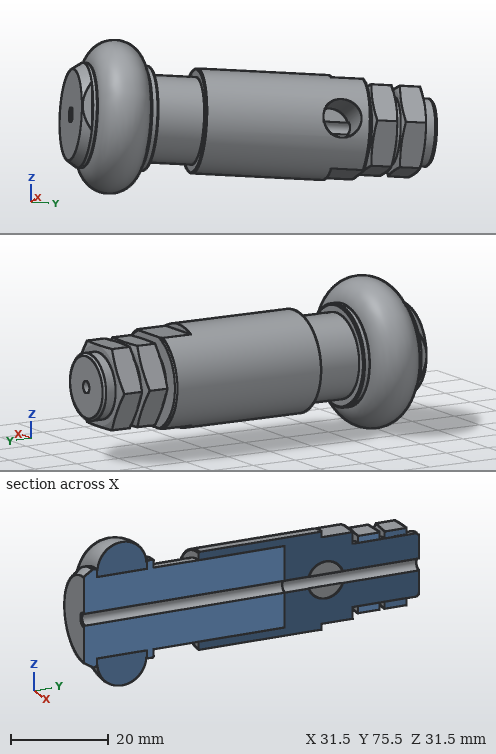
import cadquery as cq
import math

total_length = 75.5

head_diameter = 21.5
stem_diameter = 18.0
bevel_length = 2.05
bevel_angle = 30.0
head_across_flats = 19.0
head_edge_chamfer = 0.2
head_end = 15.85
stem_end = 45.3
flange_chamfer = 0.3

ring_start = 3.1
ring_width = 11.1
ring_diameter = 31.5

housing_diameter = head_diameter
housing_start = 25.8
housing_end = 60.6
housing_front_chamfer = 0.2
housing_rear_chamfer = 0.4
wrench_across_flats = 19.0
wrench_flat_start = 53.6
thread_diameter = 14.0
thread_tip_diameter = 12.9
port_diameter = 8.0
port_position = 54.5

passage_diameter = 2.5
passage_mouth_diameter = 3.0

nut_sides = 6
nut_across_flats = 17.0
nut_thickness = 5.0
nut_face_diameter = 16.6
nut_corner_drop = 0.4
nut_starts = [61.7, 67.7]

ring_end = ring_start + ring_width
head_radius = head_diameter / 2
stem_radius = stem_diameter / 2


def revolve_about_y(profile):
    """Turn a closed XY profile a full circle about the Y axis."""
    return profile.close().revolve(360, (0, 0, 0), (0, 1, 0))


def cylinder_y(diameter, start, end):
    """Cylinder along Y from start to end."""
    radius = diameter / 2
    return cq.Workplane(cq.Solid.makeCylinder(radius, end - start, cq.Vector(0, start, 0), cq.Vector(0, 1, 0)))


def slab(width, height, start, end):
    """Box centred on the Y axis with the given X and Z sizes."""
    return cq.Workplane().box(width, end - start, height).translate((0, (start + end) / 2, 0))


def make_plunger():
    face_radius = head_radius - bevel_length * math.tan(math.radians(bevel_angle))
    mouth_radius = passage_mouth_diameter / 2
    passage_radius = passage_diameter / 2
    mouth_depth = mouth_radius - passage_radius
    body = revolve_about_y(
        cq.Workplane()
        .moveTo(mouth_radius, 0)
        .lineTo(face_radius - head_edge_chamfer, 0)
        .lineTo(face_radius, head_edge_chamfer)
        .lineTo(head_radius, bevel_length)
        .lineTo(head_radius, ring_start - flange_chamfer)
        .lineTo(head_radius - flange_chamfer, ring_start)
        .lineTo(stem_radius, ring_start)
        .lineTo(stem_radius, ring_end)
        .lineTo(head_radius - flange_chamfer, ring_end)
        .lineTo(head_radius, ring_end + flange_chamfer)
        .lineTo(head_radius, head_end - flange_chamfer)
        .lineTo(head_radius - flange_chamfer, head_end)
        .lineTo(stem_radius, head_end)
        .lineTo(stem_radius, stem_end)
        .lineTo(passage_radius, stem_end)
        .lineTo(passage_radius, mouth_depth)
    )
    front = slab(head_diameter, head_diameter, 0, bevel_length)
    between_flats = slab(head_across_flats, head_diameter, 0, bevel_length)
    return body.cut(front.cut(between_flats))


def make_grip_ring():
    crown_radius = ring_width / 2
    crown_start_radius = ring_diameter / 2 - crown_radius
    return revolve_about_y(
        cq.Workplane()
        .moveTo(stem_radius, ring_start)
        .lineTo(crown_start_radius, ring_start)
        .threePointArc((ring_diameter / 2, ring_start + crown_radius), (crown_start_radius, ring_end))
        .lineTo(stem_radius, ring_end)
    )


def make_housing():
    radius = housing_diameter / 2
    thread_radius = thread_diameter / 2
    tip_radius = thread_tip_diameter / 2
    tip_chamfer = thread_radius - tip_radius
    passage_radius = passage_diameter / 2
    body = revolve_about_y(
        cq.Workplane()
        .moveTo(stem_radius, housing_start)
        .lineTo(radius - housing_front_chamfer, housing_start)
        .lineTo(radius, housing_start + housing_front_chamfer)
        .lineTo(radius, housing_end - housing_rear_chamfer)
        .lineTo(radius - housing_rear_chamfer, housing_end)
        .lineTo(thread_radius, housing_end)
        .lineTo(thread_radius, total_length - tip_chamfer)
        .lineTo(tip_radius, total_length)
        .lineTo(passage_radius, total_length)
        .lineTo(passage_radius, stem_end)
        .lineTo(stem_radius, stem_end)
    )
    rear = slab(housing_diameter, housing_diameter, wrench_flat_start, housing_end)
    between_flats = slab(housing_diameter, wrench_across_flats, wrench_flat_start, housing_end)
    body = body.cut(rear.cut(between_flats))
    port = cq.Workplane("YZ").center(port_position, 0).circle(port_diameter / 2).extrude(radius)
    return body.cut(port)


def make_nut(start):
    corner_diameter = nut_across_flats / math.cos(math.pi / nut_sides)
    corner_radius = corner_diameter / 2
    face_radius = nut_face_diameter / 2
    end = start + nut_thickness
    hexagon = (
        cq.Workplane("XZ", origin=(0, start, 0))
        .polygon(nut_sides, corner_diameter)
        .extrude(-nut_thickness)
    )
    envelope = revolve_about_y(
        cq.Workplane()
        .moveTo(0, start)
        .lineTo(face_radius, start)
        .lineTo(corner_radius, start + nut_corner_drop)
        .lineTo(corner_radius, end - nut_corner_drop)
        .lineTo(face_radius, end)
        .lineTo(0, end)
    )
    return hexagon.intersect(envelope).cut(cylinder_y(thread_diameter, start, end))


plunger = make_plunger()
grip_ring = make_grip_ring()
housing = make_housing()
nuts = [make_nut(start) for start in nut_starts]

result = cq.Compound.makeCompound(
    [plunger.val(), grip_ring.val(), housing.val(), *[nut.val() for nut in nuts]]
)